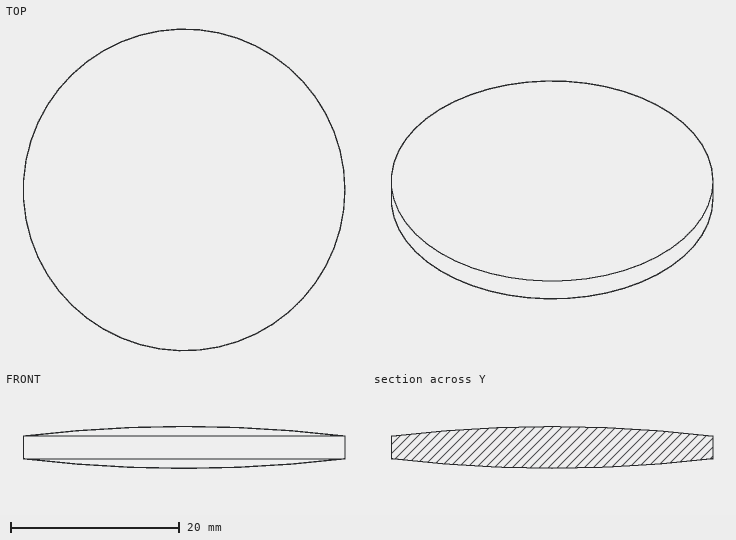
import cadquery as cq

diameter = 38.1
center_thickness = 5.0
rim_thickness = 2.7

radius = diameter / 2
cap_height = (center_thickness - rim_thickness) / 2
half_rim = rim_thickness / 2
half_center = center_thickness / 2

sphere_radius = (radius**2 + cap_height**2) / (2 * cap_height)

mid_radius = radius / 2
mid_drop = sphere_radius - (sphere_radius**2 - mid_radius**2) ** 0.5
mid_height = half_center - mid_drop

half_section = (
    cq.Workplane("XZ")
    .moveTo(0, -half_center)
    .threePointArc((mid_radius, -mid_height), (radius, -half_rim))
    .lineTo(radius, half_rim)
    .threePointArc((mid_radius, mid_height), (0, half_center))
    .close()
)

result = half_section.revolve(360, (0, 0, 0), (0, 1, 0))